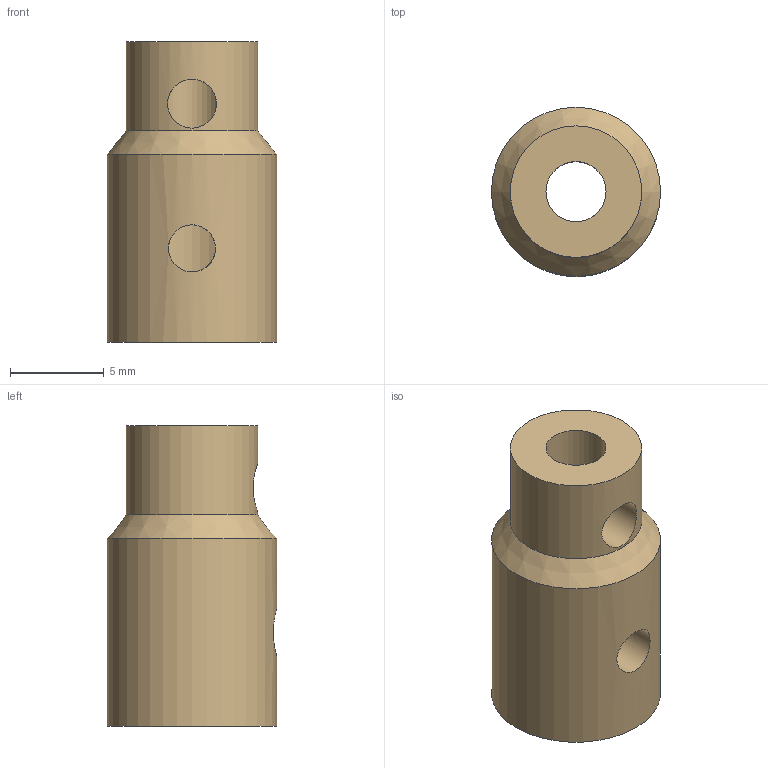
import cadquery as cq

height = 16.0
body_diameter = 9.0
neck_diameter = 7.0
body_height = 10.0
cone_height = 1.25
neck_base = body_height + cone_height

neck_bore_diameter = 3.2
body_bore_diameter = 5.2
body_bore_depth = body_height

body_screw_diameter = 2.5
body_screw_height = body_height / 2
neck_screw_diameter = 2.6
neck_screw_height = 12.7


def turned_body():
    body_radius = body_diameter / 2
    neck_radius = neck_diameter / 2
    profile = [
        (0, 0),
        (body_radius, 0),
        (body_radius, body_height),
        (neck_radius, neck_base),
        (neck_radius, height),
        (0, height),
    ]
    return cq.Workplane("XZ").polyline(profile).close().revolve(360, (0, 0), (0, 1))


def axial_bore():
    through = cq.Workplane("XY").circle(neck_bore_diameter / 2).extrude(height)
    wide = cq.Workplane("XY").circle(body_bore_diameter / 2).extrude(body_bore_depth)
    return through.union(wide)


def screw_hole(diameter, center_height):
    """Radial cylinder from the axis out through the -Y wall."""
    return (
        cq.Workplane("XZ")
        .center(0, center_height)
        .circle(diameter / 2)
        .extrude(body_diameter)
    )


result = (
    turned_body()
    .cut(axial_bore())
    .cut(screw_hole(body_screw_diameter, body_screw_height))
    .cut(screw_hole(neck_screw_diameter, neck_screw_height))
)